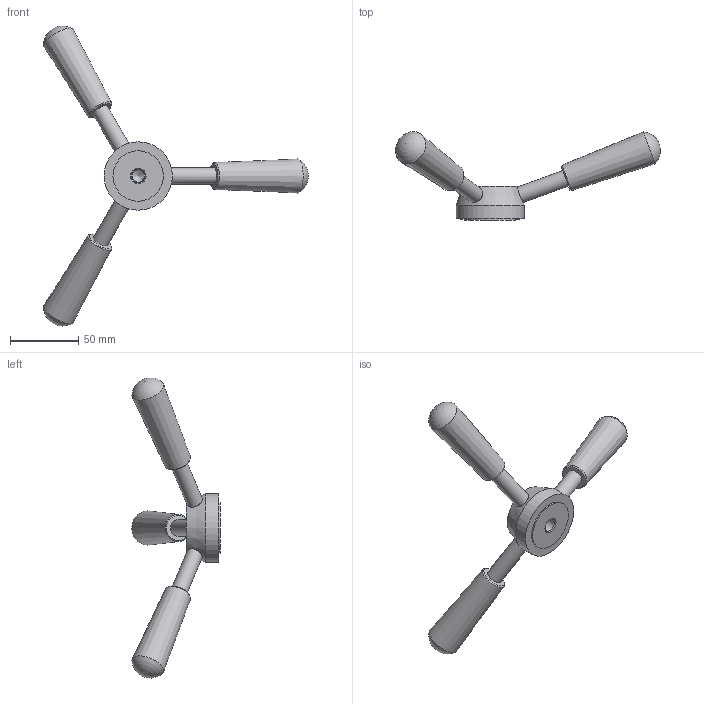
import cadquery as cq
import math

flange_diameter = 50.14
pad_diameter = 37.0
pad_height = 1.0
flange_height = 10.0
hub_height = 25.0
cone_start = pad_height + flange_height

bore_diameter = 10.0
countersink_diameter = 11.5
bore_depth = 12.0
pilot_diameter = 9.0
pilot_depth = 15.0
drill_point_angle = 118.0

arm_count = 3
arm_tilt = 20.0
arm_base_height = 10.7
rod_diameter = 12.0
grip_start = 59.0
grip_end = 124.3
grip_start_diameter = 20.0
grip_end_diameter = 25.0
grip_chamfer = 0.8
dome_height = 7.9

flange_radius = flange_diameter / 2
hub_top_radius = flange_radius - (hub_height - cone_start) * math.tan(math.radians(arm_tilt))


def make_hub():
    """Pad, flange and cone revolved about Y."""
    profile = (
        cq.Workplane("XY")
        .moveTo(0, 0)
        .lineTo(pad_diameter / 2, 0)
        .lineTo(pad_diameter / 2, pad_height)
        .lineTo(flange_radius, pad_height)
        .lineTo(flange_radius, cone_start)
        .lineTo(hub_top_radius, hub_height)
        .lineTo(0, hub_height)
        .close()
    )
    return profile.revolve(360, (0, 0, 0), (0, 1, 0))


def make_bore():
    """Cutter for the blind hole, revolved about Y."""
    bore_radius = bore_diameter / 2
    pilot_radius = pilot_diameter / 2
    countersink_radius = countersink_diameter / 2
    countersink_depth = countersink_radius - bore_radius
    point_depth = pilot_radius / math.tan(math.radians(drill_point_angle / 2))
    profile = (
        cq.Workplane("XY")
        .moveTo(0, 0)
        .lineTo(countersink_radius, 0)
        .lineTo(bore_radius, countersink_depth)
        .lineTo(bore_radius, bore_depth)
        .lineTo(pilot_radius, bore_depth)
        .lineTo(pilot_radius, pilot_depth)
        .lineTo(0, pilot_depth + point_depth)
        .close()
    )
    return profile.revolve(360, (0, 0, 0), (0, 1, 0))


def make_arm():
    """Rod and domed, tapered grip: turned about X, then tilted towards +Y."""
    rod_radius = rod_diameter / 2
    start_radius = grip_start_diameter / 2
    end_radius = grip_end_diameter / 2
    dome_radius = (end_radius**2 + dome_height**2) / (2 * dome_height)
    dome_center = grip_end + dome_height - dome_radius
    half_angle = math.asin(end_radius / dome_radius) / 2
    dome_midpoint = (
        dome_center + dome_radius * math.cos(half_angle),
        dome_radius * math.sin(half_angle),
    )
    profile = (
        cq.Workplane("XY")
        .moveTo(0, 0)
        .lineTo(0, rod_radius)
        .lineTo(grip_start, rod_radius)
        .lineTo(grip_start, start_radius - grip_chamfer)
        .lineTo(grip_start + grip_chamfer, start_radius)
        .lineTo(grip_end, end_radius)
        .threePointArc(dome_midpoint, (grip_end + dome_height, 0))
        .close()
    )
    arm = profile.revolve(360, (0, 0, 0), (1, 0, 0))
    return arm.rotate((0, 0, 0), (0, 0, 1), arm_tilt).translate((0, arm_base_height, 0))


result = make_hub()
arm = make_arm()
for index in range(arm_count):
    result = result.union(arm.rotate((0, 0, 0), (0, 1, 0), index * 360 / arm_count))
result = result.cut(make_bore())